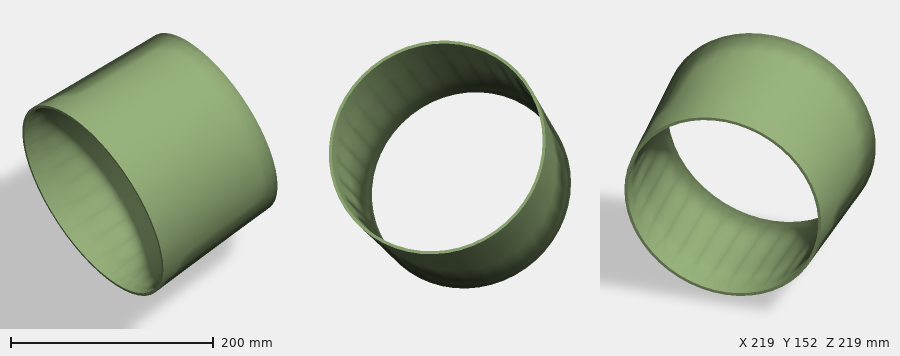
import cadquery as cq

large_diameter = 219.0
small_diameter = 204.2
length = 152.0
wall = 3.0

large_radius = large_diameter / 2
small_radius = small_diameter / 2

wall_section = (
    cq.Workplane("XY")
    .moveTo(large_radius - wall, 0)
    .lineTo(large_radius, 0)
    .lineTo(small_radius, length)
    .lineTo(small_radius - wall, length)
    .close()
)

result = wall_section.revolve(360, (0, 0, 0), (0, 1, 0))